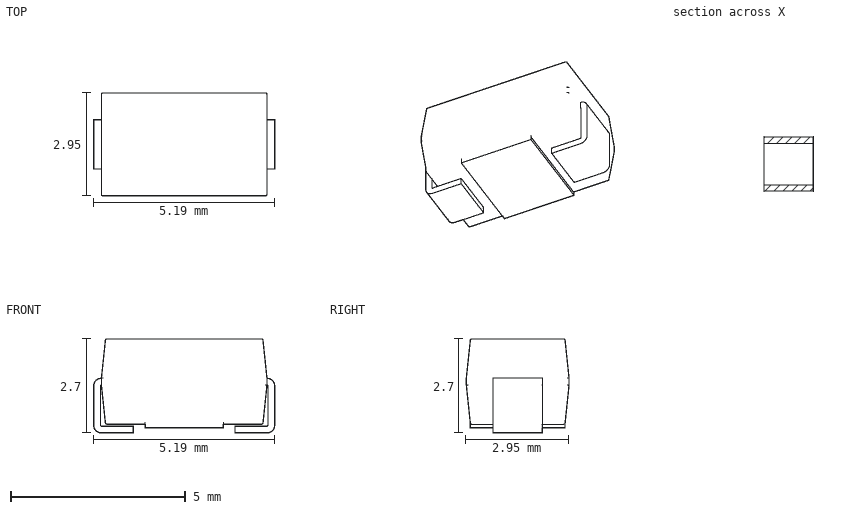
import cadquery as cq
import math

top_z = 2.70
band_top_z = 1.57
body_bottom_z = 0.25
pad_bottom_z = 0.15

body_length = 4.75
body_width = 2.95
draft_angle = 6
edge_radius = 0.05

pad_top_length = 2.48
pad_bottom_length = 2.24

overall_length = 5.19
lead_width = 1.42
lead_thickness = 0.20
foot_length = 1.14

band_bottom_z = band_top_z - lead_thickness
outer_bend_radius = (overall_length - body_length) / 2
inner_bend_radius = outer_bend_radius - lead_thickness
pad_skirt_z = body_bottom_z + edge_radius * (1 - math.sin(math.radians(draft_angle)))


def drafted_half(start_z, end_z):
    """Block on the band outline that narrows from start_z to end_z, which may be above or below."""
    height = end_z - start_z
    inset = abs(height) * math.tan(math.radians(draft_angle))
    return (
        cq.Workplane("XY", origin=(0, 0, start_z))
        .rect(body_length, body_width)
        .workplane(offset=height)
        .rect(body_length - 2 * inset, body_width - 2 * inset)
        .loft(ruled=True)
    )


def make_housing():
    """Body with a straight middle band, drafted upper and lower halves and rounded edges."""
    band = (
        cq.Workplane("XY", origin=(0, 0, band_bottom_z))
        .rect(body_length, body_width)
        .extrude(band_top_z - band_bottom_z)
    )
    upper = drafted_half(band_top_z, top_z)
    lower = drafted_half(band_bottom_z, body_bottom_z)
    housing = band.union(upper).union(lower)
    corner_edges = housing.edges("not #Z")
    end_edges = housing.faces("<Z or >Z").edges()
    return housing.newObject(corner_edges.vals() + end_edges.vals()).fillet(edge_radius)


def make_pad():
    """Tapered pad flush with the drafted sides, with a straight skirt that reaches below the body."""
    taper = (
        cq.Workplane("XZ")
        .moveTo(-pad_top_length / 2, band_bottom_z)
        .lineTo(pad_top_length / 2, band_bottom_z)
        .lineTo(pad_bottom_length / 2, pad_skirt_z)
        .lineTo(-pad_bottom_length / 2, pad_skirt_z)
        .close()
        .extrude(body_width / 2, both=True)
        .intersect(drafted_half(band_bottom_z, body_bottom_z))
    )
    skirt_height = pad_skirt_z - pad_bottom_z
    skirt = taper.faces("<Z").wires().toPending().workplane().extrude(skirt_height, combine=False)
    return taper.union(skirt)


def make_lead(side):
    """C-shaped strip from the body's end face down and under it; side is -1 or +1 along X."""
    outer_x = side * overall_length / 2
    inner_x = side * (overall_length / 2 - lead_thickness)
    bend_x = side * body_length / 2
    foot_tip_x = side * (overall_length / 2 - foot_length)
    upper_bend_z = band_top_z - outer_bend_radius
    lower_bend_z = outer_bend_radius
    return (
        cq.Workplane("XZ")
        .moveTo(bend_x, band_top_z)
        .radiusArc((outer_x, upper_bend_z), side * outer_bend_radius)
        .lineTo(outer_x, lower_bend_z)
        .radiusArc((bend_x, 0), side * outer_bend_radius)
        .lineTo(foot_tip_x, 0)
        .lineTo(foot_tip_x, lead_thickness)
        .lineTo(bend_x, lead_thickness)
        .radiusArc((inner_x, lower_bend_z), -side * inner_bend_radius)
        .lineTo(inner_x, upper_bend_z)
        .radiusArc((bend_x, band_bottom_z), -side * inner_bend_radius)
        .close()
        .extrude(lead_width / 2, both=True)
    )


body = make_housing().union(make_pad(), clean=False)
leads = [make_lead(side) for side in (-1, 1)]

result = cq.Compound.makeCompound([body.val(), *[lead.val() for lead in leads]])